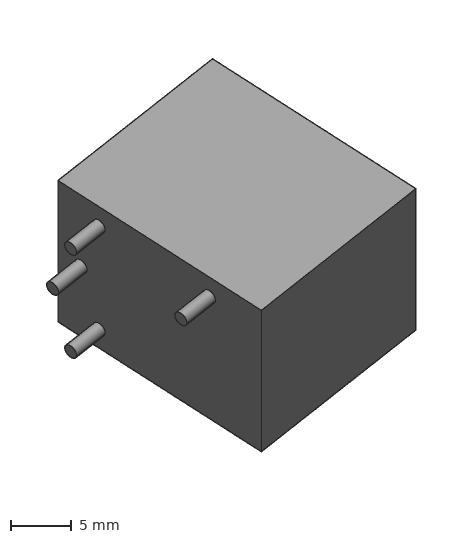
import cadquery as cq

width = 22.5
total_depth = 22.5
height = 16.5

pin_length = 3.5
pin_diameter = 1.33

middle_pin_inset = 2.56
pin_column_step = 2.0
pin_column_spacing = 12.2
pin_row_offset = 6.0

body_depth = total_depth - pin_length
middle_pin_x = middle_pin_inset - width / 2
left_column_x = middle_pin_x + pin_column_step
right_column_x = left_column_x + pin_column_spacing

pin_positions = [
    (middle_pin_x, 0),
    (left_column_x, -pin_row_offset),
    (left_column_x, pin_row_offset),
    (right_column_x, pin_row_offset),
]

body = cq.Workplane("XY").box(width, body_depth, height, centered=(True, False, True))

pins = cq.Workplane("XZ").pushPoints(pin_positions).circle(pin_diameter / 2).extrude(pin_length)

result = body.union(pins)